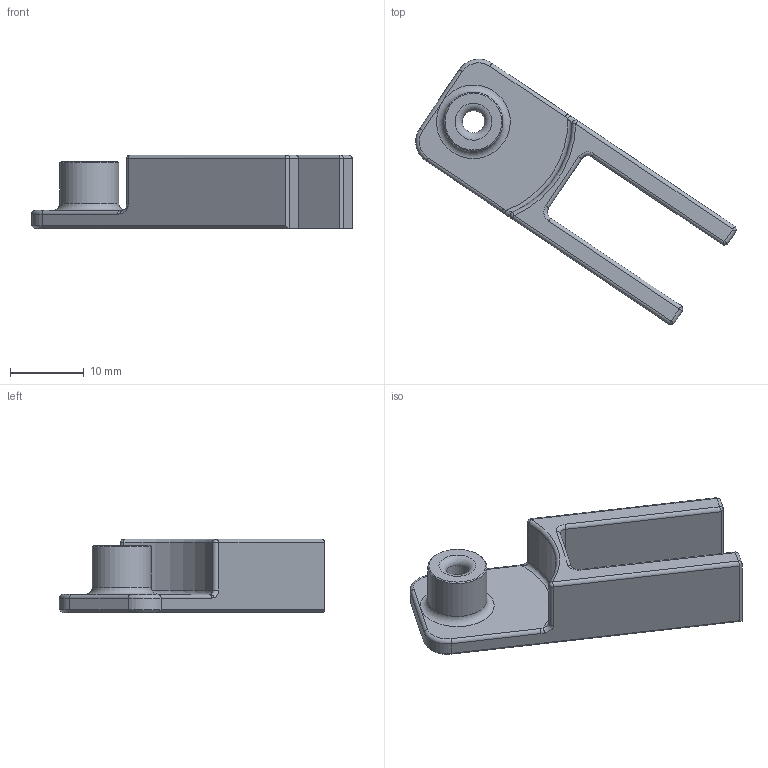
import cadquery as cq

length = 43.42
width = 16.0
height = 10.0
tilt_angle = -33.9

plate_thickness = 2.5
plate_corner_radius = 3.2
boss_setback = 5.55

boss_diameter = 8.0
boss_top = 9.1
boss_rim_chamfer = 0.15
boss_root_radius = 1.0
bore_diameter = 3.0
bore_lip_radius = 1.0

step_radius = 13.4
step_root_radius = 0.6

arm_width = 3.0
slot_start = 15.0
slot_corner_radius = 1.0

bottom_chamfer = 0.4
tip_chamfer = 0.4
top_edge_radius = 0.5

end_x = -boss_setback
tip_x = end_x + length
slot_width = width - 2 * arm_width
tolerance = 0.01


def bar_along_x(start_x, stop_x, bar_width, corner_radius):
    """Full-height block centred on the X axis, with its two -X corners rounded."""
    block = cq.Workplane("XY").box(stop_x - start_x, bar_width, height, centered=(False, True, False))
    return block.translate((start_x, 0, 0)).edges("|Z and <X").fillet(corner_radius)


def is_upper_outline(edge):
    """True for the edges round the top, the plate rim and the sides of the concave wall."""
    lowest = edge.BoundingBox().zmin
    center = edge.Center()
    on_top = lowest > height - tolerance
    above_plate = lowest > plate_thickness - tolerance
    at_wall_root = abs(center.y) < tolerance and center.x > 0
    return on_top or (above_plate and not at_wall_root)


def make_forked_body():
    """Bar with a chamfered underside, the fork slot and chamfered arm tips."""
    body = bar_along_x(end_x, tip_x, width, plate_corner_radius)
    body = body.faces("<Z").edges("not >X").chamfer(bottom_chamfer)
    body = body.cut(bar_along_x(slot_start, tip_x, slot_width, slot_corner_radius))
    return body.edges("|Z and >X").chamfer(tip_chamfer)


def cut_step(body):
    """Lower the boss end to the plate, leaving a concave wall with a rounded root."""
    clearance = (
        cq.Workplane("XY").workplane(offset=plate_thickness).circle(step_radius).extrude(height)
    )
    root_zone = cq.selectors.BoxSelector(
        (0, -tolerance, plate_thickness - tolerance),
        (step_radius, tolerance, plate_thickness + tolerance),
    )
    return body.cut(clearance).edges(root_zone).fillet(step_root_radius)


def round_upper_edges(body):
    upper_edges = [edge for edge in body.edges().vals() if is_upper_outline(edge)]
    return body.newObject(upper_edges).fillet(top_edge_radius)


def add_boss(body):
    """Add the boss with a chamfered rim, a flared root and a bore with a rounded mouth."""
    boss = cq.Workplane("XY").circle(boss_diameter / 2).extrude(boss_top)
    boss = boss.faces(">Z").edges().chamfer(boss_rim_chamfer)
    boss = boss.faces(">Z").workplane().hole(bore_diameter)
    bore_mouth = cq.selectors.RadiusNthSelector(0)
    boss = boss.faces(">Z").edges(bore_mouth).fillet(bore_lip_radius)

    bore = cq.Workplane("XY").circle(bore_diameter / 2).extrude(height)
    joined = body.cut(bore).union(boss)
    root_zone = cq.selectors.BoxSelector(
        (-tolerance, -tolerance, plate_thickness - tolerance),
        (tolerance, tolerance, plate_thickness + tolerance),
    )
    return joined.edges(root_zone).fillet(boss_root_radius)


forked_body = make_forked_body()
stepped_body = round_upper_edges(cut_step(forked_body))
result = add_boss(stepped_body).rotate((0, 0, 0), (0, 0, 1), tilt_angle)